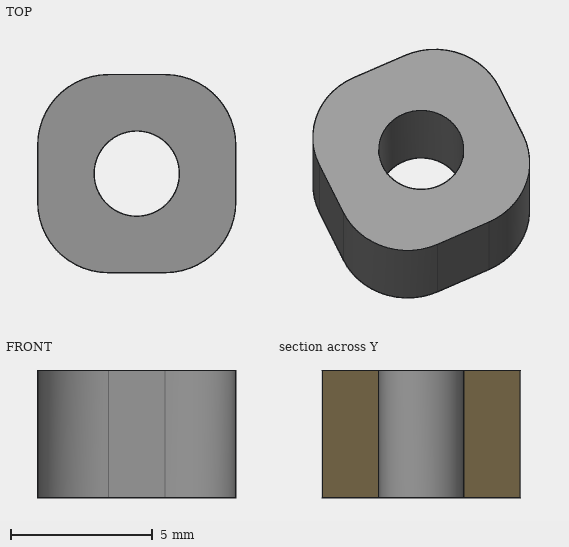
import cadquery as cq

side = 7.0
height = 4.5
bore_diameter = 3.0
corner_radius = 2.5


def rounded_block():
    """Square block with its four upright edges rounded."""
    block = cq.Workplane("XY").box(side, side, height, centered=(True, True, False))
    return block.edges("|Z").fillet(corner_radius)


def drill_bore(body):
    """Plain hole through the full height, on the block's axis."""
    return body.faces(">Z").workplane().hole(bore_diameter)


result = drill_bore(rounded_block())